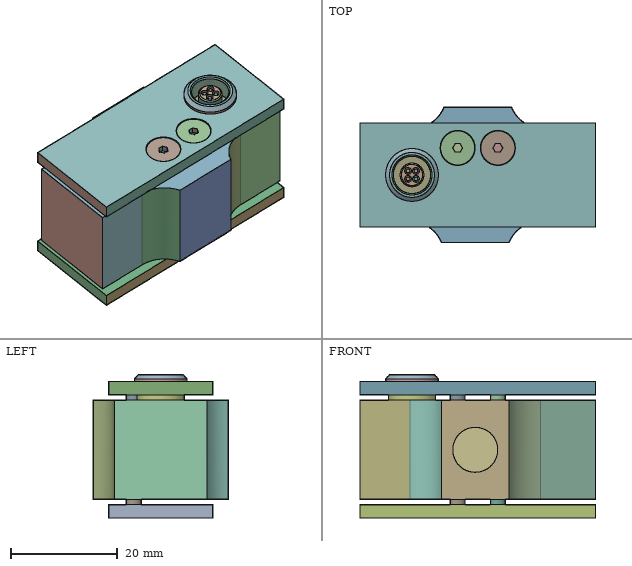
import cadquery as cq
import math


length = 44.2
body_height = 18.6
body_depth = 17.42
boss_span = 25.4
boss_width = 12.7
front_boss_x = -0.47
rear_boss_x = 0.0
flare_radius = 6.35
bore_diameter = 8.43
bore_depth = boss_span / 2

plate_depth = 19.56
plate_thickness = 2.54
plate_gap = 0.985
plate_bottom = body_height / 2 + plate_gap
plate_top = plate_bottom + plate_thickness

screw_spacing = 7.54
screw_y = 5.06
shank_diameter = 2.84
countersink_diameter = 6.55
head_diameter = 6.4
head_recess = 0.1
hex_across_flats = 1.59
hex_depth = 1.2

connector_x = -12.33
connector_diameter = 8.9
flange_diameter = 9.91
flange_rim_height = 0.5
flange_height = 1.27
flange_top_diameter = 8.43
socket_diameter = 6.99
socket_chamfer = 0.26
socket_depth = flange_height + plate_thickness
insert_diameter = 4.45
insert_chamfer = 0.24
insert_recess = 0.55
contact_pitch = 1.49
contact_hole_diameter = 1.27
contact_diameter = 0.71
contact_recess = 0.25
contact_hole_depth = 1.5


def make_boss(side, center_x):
    """Boss on the -Y (side = -1) or +Y (side = 1) face, widened by concave arcs at its root."""
    root_y = side * body_depth / 2
    tip_y = side * boss_span / 2
    rise = (boss_span - body_depth) / 2
    run = math.sqrt(flare_radius**2 - (flare_radius - rise) ** 2)
    half_angle = math.asin(run / flare_radius) / 2
    mid_run = run - flare_radius * math.sin(half_angle)
    mid_y = root_y + side * flare_radius * (1 - math.cos(half_angle))
    half_width = boss_width / 2
    outline = (
        cq.Workplane("XY", origin=(center_x, 0, -body_height / 2))
        .moveTo(-half_width - run, 0)
        .lineTo(-half_width - run, root_y)
        .threePointArc((-half_width - mid_run, mid_y), (-half_width, tip_y))
        .lineTo(half_width, tip_y)
        .threePointArc((half_width + mid_run, mid_y), (half_width + run, root_y))
        .lineTo(half_width + run, 0)
        .close()
    )
    return outline.extrude(body_height)


def make_body():
    """Block with a boss on each long side and a blind bore in the front boss."""
    block = cq.Workplane("XY").box(length, body_depth, body_height)
    block = block.union(make_boss(-1, front_boss_x)).union(make_boss(1, rear_boss_x))
    bore = (
        cq.Workplane("XZ", origin=(front_boss_x, -boss_span / 2, 0))
        .circle(bore_diameter / 2)
        .extrude(-bore_depth)
    )
    return block.cut(bore)


def make_plate(bottom):
    """Cover plate whose lower face is at the given height."""
    return (
        cq.Workplane("XY")
        .workplane(offset=bottom)
        .rect(length, plate_depth)
        .extrude(plate_thickness)
    )


def cylinder(x, y, bottom, top, diameter):
    """Upright cylinder between two heights."""
    return cq.Workplane("XY", origin=(x, y, bottom)).circle(diameter / 2).extrude(top - bottom)


def add_screw(part, x):
    """Screw shank joining both plates to the body, its head sunk just below the upper plate's face."""
    shank = cylinder(x, screw_y, -plate_bottom, plate_bottom, shank_diameter)
    head_z = plate_top - head_recess
    countersink = (
        cq.Workplane("XY", origin=(x, screw_y, head_z))
        .circle(head_diameter / 2)
        .workplane(offset=head_recess)
        .circle(countersink_diameter / 2)
        .loft()
    )
    hex_corner_diameter = hex_across_flats / math.cos(math.pi / 6)
    key_socket = (
        cq.Workplane("XY", origin=(x, screw_y, head_z))
        .polygon(6, hex_corner_diameter)
        .extrude(-hex_depth)
    )
    return part.union(shank).cut(countersink).cut(key_socket)


def make_connector_shell():
    """Round barrel with a tapered flange standing on the upper plate."""
    barrel_radius = connector_diameter / 2
    flange_radius = flange_diameter / 2
    flange_top = plate_top + flange_height
    return (
        cq.Workplane("XZ", origin=(connector_x, 0, 0))
        .moveTo(0, body_height / 2)
        .lineTo(barrel_radius, body_height / 2)
        .lineTo(barrel_radius, plate_top)
        .lineTo(flange_radius, plate_top)
        .lineTo(flange_radius, plate_top + flange_rim_height)
        .lineTo(flange_top_diameter / 2, flange_top)
        .lineTo(0, flange_top)
        .close()
        .revolve(360, (0, 0), (0, 1))
    )


def make_socket():
    """Ring-shaped cavity around the contact insert, with a chamfered mouth."""
    socket_radius = socket_diameter / 2
    insert_radius = insert_diameter / 2
    mouth_z = plate_top + flange_height
    floor_z = mouth_z - socket_depth
    insert_z = mouth_z - insert_recess
    return (
        cq.Workplane("XZ", origin=(connector_x, 0, 0))
        .moveTo(0, mouth_z)
        .lineTo(socket_radius + socket_chamfer, mouth_z)
        .lineTo(socket_radius, mouth_z - socket_chamfer)
        .lineTo(socket_radius, floor_z)
        .lineTo(insert_radius, floor_z)
        .lineTo(insert_radius, insert_z - insert_chamfer)
        .lineTo(insert_radius - insert_chamfer, insert_z)
        .lineTo(0, insert_z)
        .close()
        .revolve(360, (0, 0), (0, 1))
    )


def add_connector(part):
    """Connector with four sunk contact pins in its insert."""
    part = part.union(make_connector_shell()).cut(make_socket())
    insert_z = plate_top + flange_height - insert_recess
    hole_floor = insert_z - contact_hole_depth
    for side_x in (-1, 1):
        for side_y in (-1, 1):
            x = connector_x + side_x * contact_pitch / 2
            y = side_y * contact_pitch / 2
            hole = cylinder(x, y, hole_floor, insert_z, contact_hole_diameter)
            pin = cylinder(x, y, hole_floor, insert_z - contact_recess, contact_diameter)
            part = part.cut(hole).union(pin)
    return part


result = make_body().union(make_plate(plate_bottom)).union(make_plate(-plate_top))
for screw_side in (-1, 1):
    result = add_screw(result, screw_side * screw_spacing / 2)
result = add_connector(result)